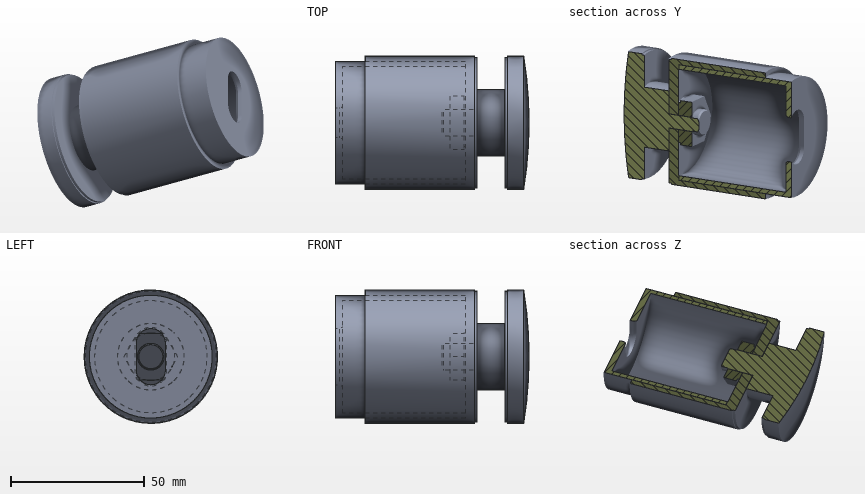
import cadquery as cq
import math

barrel_start_x = 11.1
barrel_shoulder_x = 52.05
rim_width = 1.0
barrel_end_x = barrel_shoulder_x + rim_width
cap_start_x = 63.5
cap_shoulder_x = cap_start_x + rim_width
dome_height = 2.0
total_length = 72.6
cap_edge_x = total_length - dome_height

outer_radius = 25.01
base_radius = 23.0
rim_radius = 24.5
neck_radius = 12.52
slot_land = 1.6
base_bore_radius = 21.05
barrel_end_wall = 4.35

relief_depth = 0.1
relief_width = 0.2

slot_length = 21.05
slot_width = 10.9
slot_chamfer_depth = 1.0
slot_chamfer_width = 0.5
base_wall = slot_land + slot_chamfer_depth

stud_radius = 5.0
stud_chamfer = 0.5
stud_overhang = 2.9
nut_across_flats = 17.4
nut_height = 5.8
washer_radius = 8.9
washer_thickness = 0.5
barrel_floor_x = barrel_end_x - barrel_end_wall
nut_start_x = barrel_floor_x - nut_height
stud_start_x = nut_start_x - stud_overhang


def cylinder(start_x, end_x, radius):
    """Solid cylinder about the X axis."""
    return cq.Workplane("YZ", origin=(start_x, 0, 0)).circle(radius).extrude(end_x - start_x)


def make_base():
    """Long cup that fills the barrel bore, with a slotted end wall chamfered on the inside."""
    cup = cylinder(0, barrel_floor_x, base_radius)
    cup = cup.cut(cylinder(base_wall, barrel_floor_x, base_bore_radius))
    slot = cq.Workplane("YZ").slot2D(slot_length, slot_width, 90).extrude(slot_land)
    flare_angle = math.degrees(math.atan2(slot_chamfer_width, slot_chamfer_depth))
    flare = (
        cq.Workplane("YZ", origin=(slot_land, 0, 0))
        .slot2D(slot_length, slot_width, 90)
        .extrude(slot_chamfer_depth, taper=-flare_angle)
    )
    return cup.cut(slot).cut(flare)


def make_barrel():
    """Sleeve around the base with a closed end, a stepped rim and a stud hole."""
    barrel = cylinder(barrel_start_x, barrel_shoulder_x, outer_radius)
    barrel = barrel.union(cylinder(barrel_shoulder_x, barrel_end_x, rim_radius))
    barrel = barrel.cut(cylinder(barrel_start_x, barrel_floor_x, base_radius))
    return barrel.cut(cylinder(barrel_floor_x, barrel_end_x, stud_radius))


def make_nut():
    """Hex nut with flats facing +Z and -Z and a round washer face."""
    washer_x = barrel_floor_x - washer_thickness
    across_corners = nut_across_flats / math.cos(math.pi / 6)
    nut = (
        cq.Workplane("YZ", origin=(nut_start_x, 0, 0))
        .polygon(6, across_corners)
        .extrude(washer_x - nut_start_x)
    )
    nut = nut.union(cylinder(washer_x, barrel_floor_x, washer_radius))
    return nut.cut(cylinder(nut_start_x, barrel_floor_x, stud_radius))


def make_cap():
    """Domed cap with its rim, neck and chamfered stud, revolved about X."""
    relief_x = cap_start_x - relief_width
    relief_radius = neck_radius - relief_depth
    dome_radius = (outer_radius**2 + dome_height**2) / (2 * dome_height)
    dome_center_x = total_length - dome_radius
    mid_radius = outer_radius / 2
    dome_mid_x = dome_center_x + math.sqrt(dome_radius**2 - mid_radius**2)
    return (
        cq.Workplane("XY")
        .moveTo(stud_start_x, 0)
        .lineTo(stud_start_x, stud_radius - stud_chamfer)
        .lineTo(stud_start_x + stud_chamfer, stud_radius)
        .lineTo(barrel_end_x, stud_radius)
        .lineTo(barrel_end_x, neck_radius)
        .lineTo(relief_x, neck_radius)
        .lineTo(relief_x, relief_radius)
        .lineTo(cap_start_x, relief_radius)
        .lineTo(cap_start_x, rim_radius)
        .lineTo(cap_shoulder_x, rim_radius)
        .lineTo(cap_shoulder_x, outer_radius)
        .lineTo(cap_edge_x, outer_radius)
        .threePointArc((dome_mid_x, mid_radius), (total_length, 0))
        .close()
        .revolve(360, (0, 0, 0), (1, 0, 0))
    )


base = make_base()
barrel = make_barrel()
nut = make_nut()
cap = make_cap()

result = cq.Compound.makeCompound([base.val(), barrel.val(), nut.val(), cap.val()])